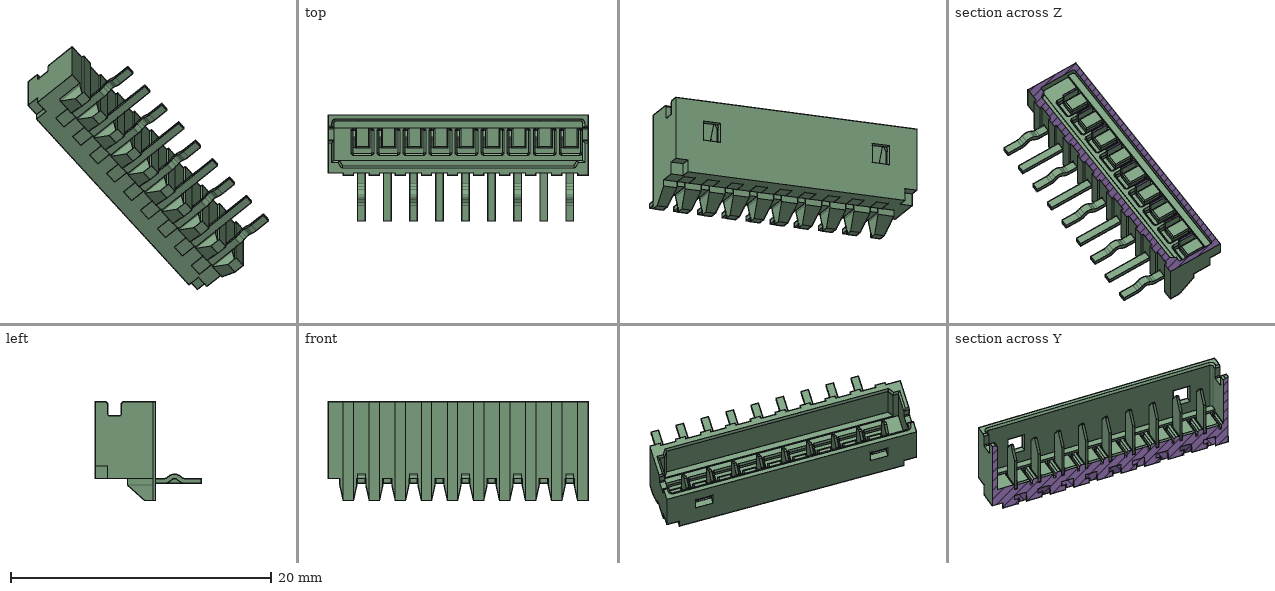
import cadquery as cq
import math


CONTACT_COUNT = 9
PITCH = 2.0
FIRST_TAIL_X = 2.55

LENGTH = 20.0
DEPTH = 4.45
HEIGHT = 5.92

END_WALL = 0.45
BACK_WALL_Y = 4.0
FRONT_WALL_Y = 0.95
RELIEF_Y = 0.55
RELIEF_START_X = 0.85
RELIEF_SLANT = 0.28
CORNER_RADIUS = 0.2
MOUTH_CHAMFER = 0.15
FLOOR_Z = 1.52
LEDGE_Z = 1.72
BACK_LEDGE_Y = 3.45

RIB_COUNT = CONTACT_COUNT + 1
RIB_WIDTH = 0.8
RIB_PROUD = 0.18
FIRST_RIB_X = FIRST_TAIL_X - PITCH / 2
FOOT_DROP = 1.68
FOOT_SHOULDER = 0.5
FOOT_WIDTH = 1.32
FOOT_DEPTH = 1.98
FOOT_TIP_DEPTH = 0.65

NOTCH_FRONT_Y = 2.45
NOTCH_BACK_Y = 3.48
NOTCH_DEPTH = 1.08
NOTCH_LEAD_IN = 0.15
NOTCH_CORNER = 0.08
WINDOW_INSET = 2.3
WINDOW_WIDTH = 1.4
WINDOW_BOTTOM_Z = 2.75
WINDOW_TOP_Z = 4.28
CORNER_CUT = 0.95
CORNER_CUT_LENGTH = 1.0

BLADE_THICKNESS = 0.2
BLADE_OFFSET = -0.65
BLADE_FRONT_Y = 1.98
BLADE_BACK_Y = 3.28
BLADE_TIP_Y = 2.68
BLADE_TIP_WIDTH = 0.15
BLADE_TIP_Z = HEIGHT - NOTCH_DEPTH
FRONT_SHOULDER_Z = 3.78
BACK_SHOULDER_Z = 4.2
TAIL_WIDTH = 0.6
TAIL_THICKNESS = 0.35
TAIL_END_Y = -3.7
BASE_FRONT_Y = 1.35

BUMP_Y = -1.65
BUMP_HALF_LENGTH = 0.85
BUMP_ANGLE = 35.0
CREST_HALF_LENGTH = 0.38
RAMP_LENGTH = 0.25

POCKET_WIDTH = 1.48
POCKET_FRONT_Y = 1.5
POCKET_CHAMFER = 0.15
POCKET_CORNER = 0.05
POCKET_BACK_Y = BACK_LEDGE_Y - POCKET_CHAMFER
POCKET_Z = 1.0
POST_WIDTH = 1.12
POST_FRONT_Y = 1.95
POST_CHAMFER = 0.1


def box(x0, x1, y0, y1, z0, z1):
    """Box between two opposite corners."""
    return cq.Workplane("XY").box(x1 - x0, y1 - y0, z1 - z0, centered=False).translate((x0, y0, z0))


def side_prism(points, x0, x1):
    """Closed Y-Z outline extruded along X."""
    return cq.Workplane("YZ").workplane(offset=x0).polyline(points).close().extrude(x1 - x0)


def tail_x(index):
    return FIRST_TAIL_X + index * PITCH


def rib_span(index):
    """Left and right edge of a rib; the last rib runs out to the end face."""
    left = FIRST_RIB_X + index * PITCH - RIB_WIDTH / 2
    right = LENGTH if index == RIB_COUNT - 1 else left + RIB_WIDTH
    return left, right



def bump_side(drop):
    """Points along half of the bump, from its start to the crest.

    Each point is (distance from the bump centre, height above the upper flat of the tail).
    `drop` is the depth of the side below the tail's upper side, measured square to the sheet.
    """
    slope = math.radians(BUMP_ANGLE)
    sin, cos = math.sin(slope), math.cos(slope)
    foot_length = BUMP_HALF_LENGTH - CREST_HALF_LENGTH - RAMP_LENGTH
    foot_radius = foot_length / sin
    crest_radius = CREST_HALF_LENGTH / sin
    crest_z = (foot_radius + crest_radius) * (1 - cos) + RAMP_LENGTH * math.tan(slope)

    def foot_point(angle):
        radius = foot_radius + drop
        return BUMP_HALF_LENGTH - radius * math.sin(angle), foot_radius - radius * math.cos(angle)

    def crest_point(angle):
        radius = crest_radius - drop
        return radius * math.sin(angle), crest_z - crest_radius + radius * math.cos(angle)

    return [foot_point(0), foot_point(slope / 2), foot_point(slope),
            crest_point(slope), crest_point(0)]


def bumped_tail_outline():
    """Y-Z outline of a tail with a bump."""
    outline = cq.Workplane("YZ").moveTo(FOOT_DEPTH, 0)
    for drop, direction in ((0, 1), (TAIL_THICKNESS, -1)):
        start, start_mid, ramp_foot, ramp_top, crest = bump_side(drop)

        def near(point):
            return BUMP_Y + direction * point[0], point[1]

        def far(point):
            return BUMP_Y - direction * point[0], point[1]

        outline = (
            outline.lineTo(*near(start))
            .threePointArc(near(start_mid), near(ramp_foot))
            .lineTo(*near(ramp_top))
            .threePointArc(near(crest), far(ramp_top))
            .lineTo(*far(ramp_foot))
            .threePointArc(far(start_mid), far(start))
        )
        if direction == 1:
            outline = outline.lineTo(TAIL_END_Y, 0).lineTo(TAIL_END_Y, -TAIL_THICKNESS)
    return outline.lineTo(FOOT_DEPTH, -TAIL_THICKNESS).close()


def make_tail(bumped):
    """Flat tail below the housing, centred on X = 0."""
    if bumped:
        return bumped_tail_outline().extrude(TAIL_WIDTH / 2, both=True)
    return box(-TAIL_WIDTH / 2, TAIL_WIDTH / 2, TAIL_END_Y, FOOT_DEPTH, -TAIL_THICKNESS, 0)


def make_blade():
    """Upright blade with a blunt tip, beside the tail centre."""
    points = [
        (BLADE_FRONT_Y, 0),
        (BLADE_FRONT_Y, FRONT_SHOULDER_Z),
        (BLADE_TIP_Y - BLADE_TIP_WIDTH / 2, BLADE_TIP_Z),
        (BLADE_TIP_Y + BLADE_TIP_WIDTH / 2, BLADE_TIP_Z),
        (BLADE_BACK_Y, BACK_SHOULDER_Z),
        (BLADE_BACK_Y, 0),
    ]
    return side_prism(points, BLADE_OFFSET, BLADE_OFFSET + BLADE_THICKNESS)


def make_contact(index):
    """Blade, base and tail in one piece; even contacts have a bump in the tail."""
    base = box(BLADE_OFFSET, TAIL_WIDTH / 2, BASE_FRONT_Y, BLADE_BACK_Y, 0, TAIL_THICKNESS)
    contact = make_tail(bumped=index % 2 == 0).union(base).union(make_blade())
    return contact.translate((tail_x(index), 0, 0))



def cavity_outline(margin, z):
    """Cavity outline widened by `margin`, at height z."""
    left = END_WALL - margin
    right = LENGTH - left
    back = BACK_WALL_Y + margin
    front = FRONT_WALL_Y - margin
    relief = RELIEF_Y - margin
    slant_angle = math.atan2(FRONT_WALL_Y - RELIEF_Y, RELIEF_SLANT)
    slant_left = RELIEF_START_X - margin * math.tan(slant_angle / 2)
    slant_right = LENGTH - slant_left
    radius = CORNER_RADIUS + margin
    mid = radius * (1 - math.sqrt(0.5))
    return (
        cq.Workplane("XY").workplane(offset=z)
        .moveTo(left, front)
        .lineTo(slant_left, front)
        .lineTo(slant_left + RELIEF_SLANT, relief)
        .lineTo(slant_right - RELIEF_SLANT, relief)
        .lineTo(slant_right, front)
        .lineTo(right, front)
        .lineTo(right, back - radius)
        .threePointArc((right - mid, back - mid), (right - radius, back))
        .lineTo(left + radius, back)
        .threePointArc((left + mid, back - mid), (left, back - radius))
        .close()
    )


def make_cavity():
    """Open cavity with a chamfered mouth and a floor sunk between two ledges."""
    cavity = cavity_outline(0, LEDGE_Z).extrude(HEIGHT - LEDGE_Z)
    lower = cavity_outline(0, HEIGHT - MOUTH_CHAMFER).val()
    upper = cavity_outline(MOUTH_CHAMFER, HEIGHT).val()
    mouth = cq.Workplane(cq.Solid.makeLoft([lower, upper], True))
    floor = box(END_WALL, LENGTH - END_WALL, FRONT_WALL_Y, BACK_LEDGE_Y, FLOOR_Z, LEDGE_Z)
    return cavity.union(mouth).union(floor)


def make_ribs_and_feet():
    """Full-height ribs, each standing on a tapered foot below the housing."""
    foot_side = [
        (0, 0),
        (FOOT_DEPTH, 0),
        (FOOT_DEPTH, -FOOT_SHOULDER),
        (FOOT_TIP_DEPTH, -FOOT_DROP),
        (0, -FOOT_DROP),
    ]
    side_profile = side_prism(foot_side, 0, LENGTH)
    flare = (FOOT_WIDTH - RIB_WIDTH) / 2
    pieces = cq.Workplane("XY")
    for index in range(RIB_COUNT):
        left, right = rib_span(index)
        foot_right = min(right + flare, LENGTH)
        foot_front = [
            (left - flare, 0),
            (left - flare, -FOOT_SHOULDER),
            (left, -FOOT_DROP),
            (right, -FOOT_DROP),
            (foot_right, -FOOT_SHOULDER),
            (foot_right, 0),
        ]
        foot = cq.Workplane("XZ").polyline(foot_front).close().extrude(-FOOT_DEPTH)
        pieces.add(foot.intersect(side_profile))
        pieces.add(box(left, right, -RIB_PROUD, 0, -FOOT_DROP, HEIGHT))
    return pieces


def make_pocket(index):
    """Pocket in the floor beside the blade, with a chamfered rim and a chamfered post left standing."""
    left = tail_x(index) + BLADE_OFFSET
    pocket_depth = POCKET_BACK_Y - POCKET_FRONT_Y
    outline = cq.Sketch().rect(POCKET_WIDTH, pocket_depth).vertices().chamfer(POCKET_CORNER)
    centre = (left + POCKET_WIDTH / 2, POCKET_FRONT_Y + pocket_depth / 2)
    pocket = (
        cq.Workplane("XY", origin=(*centre, POCKET_Z))
        .placeSketch(outline).extrude(FLOOR_Z - POCKET_Z)
    )
    lead_in = (
        cq.Workplane("XY", origin=(*centre, FLOOR_Z - POCKET_CHAMFER))
        .placeSketch(outline).extrude(POCKET_CHAMFER, taper=-45)
    )
    post_left = left + BLADE_THICKNESS
    post = (
        box(post_left, post_left + POST_WIDTH, POST_FRONT_Y, BACK_LEDGE_Y, POCKET_Z, FLOOR_Z)
        .faces(">Z").edges("<X or >X or <Y").chamfer(POST_CHAMFER)
    )
    return pocket.union(lead_in).cut(post)


def make_notch():
    """Notch through both end walls, with lead-in chamfers and bevelled lower corners."""
    bottom = HEIGHT - NOTCH_DEPTH
    lead_z = HEIGHT - NOTCH_LEAD_IN
    points = [
        (NOTCH_FRONT_Y - NOTCH_LEAD_IN, HEIGHT),
        (NOTCH_FRONT_Y, lead_z),
        (NOTCH_FRONT_Y, bottom + NOTCH_CORNER),
        (NOTCH_FRONT_Y + NOTCH_CORNER, bottom),
        (NOTCH_BACK_Y - NOTCH_CORNER, bottom),
        (NOTCH_BACK_Y, bottom + NOTCH_CORNER),
        (NOTCH_BACK_Y, lead_z),
        (NOTCH_BACK_Y + NOTCH_LEAD_IN, HEIGHT),
    ]
    return side_prism(points, 0, LENGTH)


def make_housing(contacts):
    housing = box(0, LENGTH, 0, DEPTH, 0, HEIGHT).cut(make_cavity()).cut(make_notch())
    for index in range(CONTACT_COUNT):
        housing = housing.cut(make_pocket(index))

    for left in (WINDOW_INSET, LENGTH - WINDOW_INSET - WINDOW_WIDTH):
        window = box(left, left + WINDOW_WIDTH, BACK_WALL_Y, DEPTH, WINDOW_BOTTOM_Z, WINDOW_TOP_Z)
        housing = housing.cut(window)

    for left in (0, LENGTH - CORNER_CUT_LENGTH):
        corner = box(left, left + CORNER_CUT_LENGTH, DEPTH - CORNER_CUT, DEPTH, 0, CORNER_CUT)
        housing = housing.cut(corner)

    for piece in make_ribs_and_feet().vals():
        housing = housing.union(cq.Workplane(piece))

    for contact in contacts:
        housing = housing.cut(contact)
    return housing


contacts = [make_contact(index) for index in range(CONTACT_COUNT)]
housing = make_housing(contacts)

result = cq.Compound.makeCompound([housing.val(), *[contact.val() for contact in contacts]])